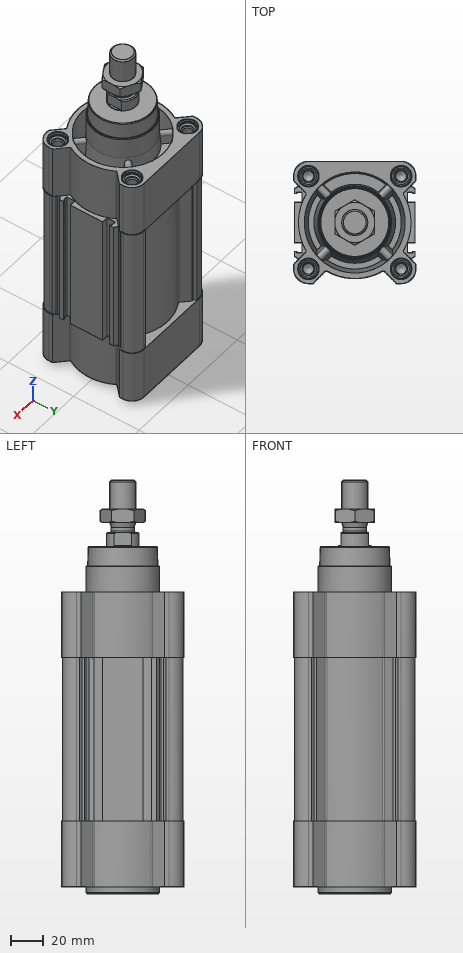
import cadquery as cq
import math


TOTAL_HEIGHT = 253.0
REAR_BOSS_HEIGHT = 4.3
CAP_HEIGHT = 40.2
BARREL_LENGTH = 100.0
REAR_CAP_TOP = REAR_BOSS_HEIGHT + CAP_HEIGHT
BARREL_TOP = REAR_CAP_TOP + BARREL_LENGTH
FRONT_CAP_TOP = BARREL_TOP + CAP_HEIGHT
COLLAR_SHOULDER = 200.7
COLLAR_TOP = 212.5

CAP_HALF_WIDTH = 37.5
CAP_RADIUS = 34.5
SCREW_OFFSET = 28.3
LOBE_RADIUS = CAP_HALF_WIDTH - SCREW_OFFSET
LOBE_FLAT_END = 25.5
LOBE_ROOT_FILLET = 0.8
REAR_BOSS_CHAMFER = 0.8

COLLAR_RADIUS = 22.5
COLLAR_CHAMFER = 0.5
NOSE_BASE_RADIUS = 21.5
NOSE_BULGE = 0.05
NOSE_RIM_RADIUS = 42.3 / 2
NOSE_CHAMFER = 0.38
NOSE_CHAMFER_HEIGHT = 0.8

RECESS_RADIUS = 31.0
RECESS_DEPTH = 27.8
SHALLOW_DEPTH = 10.0
DRAFT_ANGLE = 5.0
RIB_HALF_WIDTH = 2.3
RIB_CREST_DEPTH = 1.8

SOCKET_DIAMETER = 13.2
SEAT_DIAMETER = 12.0
COUNTERSINK_DIAMETER = 10.0
THREAD_MOUTH_DIAMETER = 8.0
THREAD_DIAMETER = 6.5
STEP_HEIGHT = 0.8
THREAD_DEPTH = 25.3
DRILL_TIP_HALF_ANGLE = 59.0

BARREL_RADIUS = 34.2
BARREL_ROOT_FILLET = 1.0
BARREL_HALF_WIDTH = 37.0
BARREL_LOBE_FLAT_END = 26.3
LOBE_STEP_POINT = 24.8
LOBE_STEP_DEPTH = 35.2
FLANK_START = 23.5
RAIL_END = 20.8
RAIL_FLANK_END = 22.5
RAIL_FLANK_DEPTH = LOBE_STEP_DEPTH - (FLANK_START - RAIL_FLANK_END)
SLOT_FLOOR = 32.5
SLOT_INNER_EDGE = 12.5
SLOT_LIP_EDGE = 17.7
SLOT_OUTER_EDGE = 18.5
SLOT_LIP_DEPTH = 35.5

ROD_RADIUS = 20.0 / 2
ROD_SHOULDER = 221.2
ROD_CHAMFER = 0.8
FLAT_WIDTH = 17.0
FLAT_BOTTOM = 213.0
ROD_THREAD_RADIUS = 16.0 / 2
ROD_THREAD_TIP_CHAMFER = 1.0
NECK_TOP = 224.0
NECK_BOTTOM = 222.0
THREAD_RUNOUT_RADIUS = 14.0 / 2
NECK_RADIUS = 14.5 / 2
NECK_ROOT_RADIUS = 15.0 / 2

NUT_WIDTH = 24.0
NUT_BOTTOM = 227.0
NUT_TOP = 235.5
NUT_CHAMFER_RADIUS = 24.5 / 2
NUT_CHAMFER_ANGLE = 30.0


def revolve_profile(points):
    """Revolve a closed (radius, z) outline around Z."""
    return cq.Workplane("XZ").polyline(points).close().revolve(360, (0, 0, 0), (0, 1, 0))


def corner_signs():
    return [(sx, sy) for sx in (-1, 1) for sy in (-1, 1)]


def flank_root(body_radius, flank_offset):
    """Point (far, near) of the 45 degree flank, far - near = flank_offset, on the round body."""
    half_offset = flank_offset / 2
    mean = math.sqrt(body_radius**2 / 2 - half_offset**2)
    return mean + half_offset, mean - half_offset


def arc_middle(lobe_radius):
    """Coordinate, equal in X and Y, of the outermost point of a lobe arc."""
    return SCREW_OFFSET + lobe_radius * math.sqrt(0.5)


def cap_block(z_bottom):
    """Round cap with four screw lobes; the +Y side is filled out flat."""
    root_far, root_near = flank_root(CAP_RADIUS, CAP_HALF_WIDTH - LOBE_FLAT_END)
    body = cq.Workplane("XY").circle(CAP_RADIUS).extrude(CAP_HEIGHT)
    arc_mid = arc_middle(LOBE_RADIUS)
    for sx, sy in corner_signs():
        lobe = (
            cq.Workplane("XY")
            .moveTo(0, 0)
            .lineTo(sx * root_far, sy * root_near)
            .lineTo(sx * CAP_HALF_WIDTH, sy * LOBE_FLAT_END)
            .lineTo(sx * CAP_HALF_WIDTH, sy * SCREW_OFFSET)
            .threePointArc((sx * arc_mid, sy * arc_mid), (sx * SCREW_OFFSET, sy * CAP_HALF_WIDTH))
            .lineTo(sx * LOBE_FLAT_END, sy * CAP_HALF_WIDTH)
            .lineTo(sx * root_near, sy * root_far)
            .close()
            .extrude(CAP_HEIGHT)
        )
        body = body.union(lobe)
    flat_side = (
        cq.Workplane("XY")
        .rect(2 * SCREW_OFFSET, CAP_HALF_WIDTH, centered=(True, False))
        .extrude(CAP_HEIGHT)
    )
    body = body.union(flat_side)
    roots = [(sx * root_far, sy * root_near) for sx, sy in corner_signs()]
    roots += [(sx * root_near, -root_far) for sx in (-1, 1)]
    for x, y in roots:
        picker = cq.selectors.NearestToPointSelector((x, y, CAP_HEIGHT / 2))
        body = body.edges(picker).fillet(LOBE_ROOT_FILLET)
    return body.translate((0, 0, z_bottom))


def barrel():
    """Extruded tube profile with corner lobes and two sensor slots on each X side."""
    body = cq.Workplane("XY").circle(BARREL_RADIUS).extrude(BARREL_LENGTH)
    root_far, root_near = flank_root(BARREL_RADIUS, LOBE_STEP_DEPTH - FLANK_START)
    arc_mid = arc_middle(BARREL_HALF_WIDTH - SCREW_OFFSET)
    for sx, sy in corner_signs():
        quarter_points = [
            (root_near, root_far),
            (0, 0),
            (BARREL_HALF_WIDTH, 0),
            (BARREL_HALF_WIDTH, SLOT_INNER_EDGE),
            (SLOT_FLOOR, SLOT_INNER_EDGE),
            (SLOT_FLOOR, SLOT_OUTER_EDGE),
            (SLOT_LIP_DEPTH, SLOT_OUTER_EDGE),
            (SLOT_LIP_DEPTH, SLOT_LIP_EDGE),
            (BARREL_HALF_WIDTH, SLOT_LIP_EDGE),
            (BARREL_HALF_WIDTH, RAIL_END),
            (RAIL_FLANK_DEPTH, RAIL_FLANK_END),
            (LOBE_STEP_DEPTH, FLANK_START),
            (LOBE_STEP_DEPTH, LOBE_STEP_POINT),
            (BARREL_HALF_WIDTH, BARREL_LOBE_FLAT_END),
            (BARREL_HALF_WIDTH, SCREW_OFFSET),
        ]
        quarter = (
            cq.Workplane("XY")
            .polyline([(sx * x, sy * y) for x, y in quarter_points])
            .threePointArc(
                (sx * arc_mid, sy * arc_mid),
                (sx * SCREW_OFFSET, sy * BARREL_HALF_WIDTH),
            )
            .lineTo(sx * BARREL_LOBE_FLAT_END, sy * BARREL_HALF_WIDTH)
            .lineTo(sx * LOBE_STEP_POINT, sy * LOBE_STEP_DEPTH)
            .lineTo(sx * FLANK_START, sy * LOBE_STEP_DEPTH)
            .close()
            .extrude(BARREL_LENGTH)
        )
        body = body.union(quarter)
    for sx, sy in corner_signs():
        root = (sx * root_near, sy * root_far, BARREL_LENGTH / 2)
        body = body.edges(cq.selectors.NearestToPointSelector(root)).fillet(BARREL_ROOT_FILLET)
    return body.translate((0, 0, REAR_CAP_TOP))


def rear_boss():
    return (
        cq.Workplane("XY")
        .circle(COLLAR_RADIUS)
        .extrude(REAR_BOSS_HEIGHT)
        .faces("<Z")
        .edges()
        .chamfer(REAR_BOSS_CHAMFER)
    )


def collar():
    """Guide collar with a slightly curved nose that seals the rod."""
    nose_middle_z = (COLLAR_SHOULDER + COLLAR_TOP) / 2
    nose_middle_radius = (NOSE_BASE_RADIUS + NOSE_RIM_RADIUS) / 2 + NOSE_BULGE
    return (
        cq.Workplane("XZ")
        .moveTo(0, FRONT_CAP_TOP)
        .lineTo(COLLAR_RADIUS, FRONT_CAP_TOP)
        .lineTo(COLLAR_RADIUS, COLLAR_SHOULDER - COLLAR_CHAMFER)
        .lineTo(COLLAR_RADIUS - COLLAR_CHAMFER, COLLAR_SHOULDER)
        .lineTo(NOSE_BASE_RADIUS, COLLAR_SHOULDER)
        .threePointArc(
            (nose_middle_radius, nose_middle_z),
            (NOSE_RIM_RADIUS, COLLAR_TOP - NOSE_CHAMFER_HEIGHT),
        )
        .lineTo(NOSE_RIM_RADIUS - NOSE_CHAMFER, COLLAR_TOP)
        .lineTo(0, COLLAR_TOP)
        .close()
        .revolve(360, (0, 0, 0), (0, 1, 0))
    )


def front_recess():
    """Drafted ring recess around the collar, interrupted by the four ribs."""
    draft = math.tan(math.radians(DRAFT_ANGLE))
    taper = RECESS_DEPTH * draft
    floor_z = FRONT_CAP_TOP - RECESS_DEPTH
    ring = revolve_profile([
        (COLLAR_RADIUS, FRONT_CAP_TOP),
        (RECESS_RADIUS, FRONT_CAP_TOP),
        (RECESS_RADIUS - taper, floor_z),
        (COLLAR_RADIUS + taper, floor_z),
    ])
    crest_z = FRONT_CAP_TOP - RIB_CREST_DEPTH
    side_top_z = crest_z - RIB_HALF_WIDTH
    rib_foot = RIB_HALF_WIDTH + (side_top_z - floor_z) * draft
    rib_pair = (
        cq.Workplane("XZ")
        .moveTo(-rib_foot, floor_z)
        .lineTo(-RIB_HALF_WIDTH, side_top_z)
        .threePointArc((0, crest_z), (RIB_HALF_WIDTH, side_top_z))
        .lineTo(rib_foot, floor_z)
        .close()
        .extrude(RECESS_RADIUS, both=True)
    )
    raised_floor = (
        cq.Workplane("XY", origin=(0, 0, floor_z))
        .polyline([(0, 0), (CAP_RADIUS, CAP_RADIUS), (-CAP_RADIUS, CAP_RADIUS)])
        .close()
        .extrude(RECESS_DEPTH - SHALLOW_DEPTH)
    )
    ring = ring.cut(raised_floor)
    for angle in (45, -45):
        ring = ring.cut(rib_pair.rotate((0, 0, 0), (0, 0, 1), angle))
    return ring


def screw_hole():
    """Blind hole of one corner screw: 45 degree steps narrowing to a drilled thread."""
    socket_r = SOCKET_DIAMETER / 2
    seat_r = SEAT_DIAMETER / 2
    countersink_r = COUNTERSINK_DIAMETER / 2
    mouth_r = THREAD_MOUTH_DIAMETER / 2
    thread_r = THREAD_DIAMETER / 2
    seat_top = FRONT_CAP_TOP - STEP_HEIGHT - (socket_r - seat_r)
    seat_floor = seat_top - STEP_HEIGHT
    mouth_top = seat_floor - (countersink_r - mouth_r)
    mouth_bottom = mouth_top - STEP_HEIGHT
    thread_floor = FRONT_CAP_TOP - THREAD_DEPTH
    tip_height = thread_r / math.tan(math.radians(DRILL_TIP_HALF_ANGLE))
    return revolve_profile([
        (0, FRONT_CAP_TOP),
        (socket_r, FRONT_CAP_TOP),
        (socket_r, FRONT_CAP_TOP - STEP_HEIGHT),
        (seat_r, seat_top),
        (seat_r, seat_floor),
        (countersink_r, seat_floor),
        (mouth_r, mouth_top),
        (mouth_r, mouth_bottom),
        (thread_r, mouth_bottom - (mouth_r - thread_r)),
        (thread_r, thread_floor),
        (0, thread_floor - tip_height),
    ])


def make_housing():
    body = rear_boss()
    for section in (cap_block(REAR_BOSS_HEIGHT), barrel(), cap_block(BARREL_TOP), collar()):
        body = body.union(section)
    body = body.cut(front_recess())
    for sx, sy in corner_signs():
        body = body.cut(screw_hole().translate((sx * SCREW_OFFSET, sy * SCREW_OFFSET, 0)))
    rod_bore = (
        cq.Workplane("XY", origin=(0, 0, BARREL_TOP))
        .circle(ROD_RADIUS)
        .extrude(COLLAR_TOP - BARREL_TOP)
    )
    return body.cut(rod_bore)


def make_piston_rod():
    """Rod with two wrench flats, a necked run-out and a threaded end."""
    rod = revolve_profile([
        (0, BARREL_TOP),
        (ROD_RADIUS, BARREL_TOP),
        (ROD_RADIUS, ROD_SHOULDER - ROD_CHAMFER),
        (ROD_RADIUS - ROD_CHAMFER, ROD_SHOULDER),
        (NECK_ROOT_RADIUS, ROD_SHOULDER),
        (NECK_RADIUS, NECK_BOTTOM),
        (NECK_RADIUS, NECK_TOP),
        (THREAD_RUNOUT_RADIUS, NECK_TOP),
        (ROD_THREAD_RADIUS, NUT_BOTTOM),
        (ROD_THREAD_RADIUS, TOTAL_HEIGHT - ROD_THREAD_TIP_CHAMFER),
        (ROD_THREAD_RADIUS - ROD_THREAD_TIP_CHAMFER, TOTAL_HEIGHT),
        (0, TOTAL_HEIGHT),
    ])
    flat_depth = ROD_RADIUS - FLAT_WIDTH / 2
    for side in (-1, 1):
        flat_cut = (
            cq.Workplane("XY", origin=(0, 0, FLAT_BOTTOM))
            .center(side * (FLAT_WIDTH + flat_depth) / 2, 0)
            .rect(flat_depth, 2 * ROD_RADIUS)
            .extrude(ROD_SHOULDER - FLAT_BOTTOM)
        )
        rod = rod.cut(flat_cut)
    return rod


def make_lock_nut():
    """Hex nut with flats facing X and both ends chamfered at the corners."""
    corner_radius = NUT_WIDTH / math.sqrt(3)
    hexagon = (
        cq.Workplane("XY", origin=(0, 0, NUT_BOTTOM))
        .polygon(6, 2 * corner_radius)
        .circle(ROD_THREAD_RADIUS)
        .extrude(NUT_TOP - NUT_BOTTOM)
        .rotate((0, 0, 0), (0, 0, 1), 90)
    )
    corner_drop = (corner_radius - NUT_CHAMFER_RADIUS) * math.tan(math.radians(NUT_CHAMFER_ANGLE))
    envelope = revolve_profile([
        (0, NUT_BOTTOM),
        (NUT_CHAMFER_RADIUS, NUT_BOTTOM),
        (corner_radius, NUT_BOTTOM + corner_drop),
        (corner_radius, NUT_TOP - corner_drop),
        (NUT_CHAMFER_RADIUS, NUT_TOP),
        (0, NUT_TOP),
    ])
    return hexagon.intersect(envelope)


housing = make_housing()
piston_rod = make_piston_rod()
lock_nut = make_lock_nut()

result = cq.Compound.makeCompound([housing.val(), piston_rod.val(), lock_nut.val()])